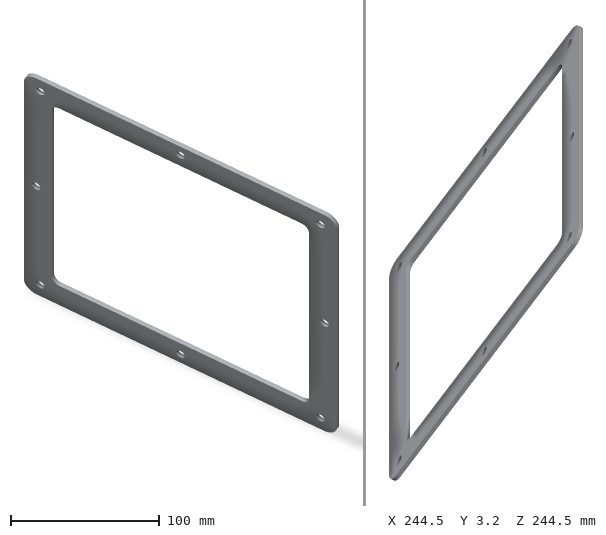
import cadquery as cq

outer_side = 244.5
thickness = 3.2
outer_corner_radius = 10.0
opening_side = 201.0
opening_corner_radius = 6.0

hole_diameter = 7.0
corner_hole_offset = 109.5
side_hole_offset = 112.7


def rounded_square(side, corner_radius):
    """Square plate centred on the origin, with its four corners rounded."""
    return cq.Workplane("XY").box(side, thickness, side).edges("|Y").fillet(corner_radius)


def screw_holes():
    """Cylinders for the eight holes, running through the plate along Y."""
    corner_points = [
        (x_sign * corner_hole_offset, z_sign * corner_hole_offset)
        for x_sign in (-1, 1)
        for z_sign in (-1, 1)
    ]
    side_points = [
        (-side_hole_offset, 0),
        (side_hole_offset, 0),
        (0, -side_hole_offset),
        (0, side_hole_offset),
    ]
    return (
        cq.Workplane("XZ")
        .pushPoints(corner_points + side_points)
        .circle(hole_diameter / 2)
        .extrude(thickness, both=True)
    )


frame = rounded_square(outer_side, outer_corner_radius)
opening = rounded_square(opening_side, opening_corner_radius)
result = frame.cut(opening).cut(screw_holes())